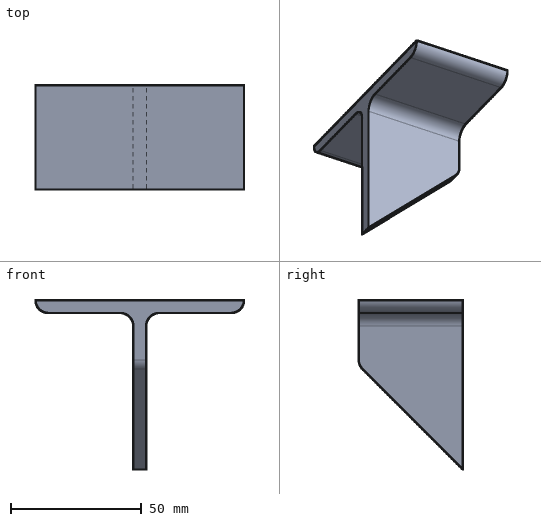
import cadquery as cq

flange_width = 80.0
depth = 40.0
web_front_drop = 25.0
thickness = flange_width / 16

edge_radius = thickness
height = web_front_drop + depth
half_depth = depth / 2


def make_flange():
    """Flat plate with its top at Z = 0 and its lower long edges fully rounded."""
    half_width = flange_width / 2
    flat_end = half_width - edge_radius
    return (
        cq.Workplane("XZ", origin=(0, half_depth, 0))
        .moveTo(-half_width, 0)
        .lineTo(half_width, 0)
        .radiusArc((flat_end, -thickness), edge_radius)
        .lineTo(-flat_end, -thickness)
        .radiusArc((-half_width, 0), edge_radius)
        .close()
        .extrude(depth)
    )


def make_web():
    """Central web, cut at 45 degrees below, with a rounded front corner."""
    web = (
        cq.Workplane("YZ")
        .polyline(
            [
                (-half_depth, 0),
                (half_depth, 0),
                (half_depth, -height),
                (-half_depth, -web_front_drop),
            ]
        )
        .close()
        .extrude(thickness / 2, both=True)
    )
    front_corner = cq.selectors.NearestToPointSelector((0, -half_depth, -web_front_drop))
    return web.edges("|X").edges(front_corner).fillet(edge_radius)


def make_root_fillet(side):
    """Concave fillet between web and flange; side is +1 or -1 along X."""
    web_face = side * thickness / 2
    flange_end = web_face + side * edge_radius
    return (
        cq.Workplane("XZ", origin=(0, half_depth, 0))
        .moveTo(0, 0)
        .lineTo(flange_end, 0)
        .lineTo(flange_end, -thickness)
        .radiusArc((web_face, -thickness - edge_radius), -side * edge_radius)
        .lineTo(0, -thickness - edge_radius)
        .close()
        .extrude(depth)
    )


result = make_flange().union(make_web())
for side in (-1, 1):
    result = result.union(make_root_fillet(side))
result = result.clean()